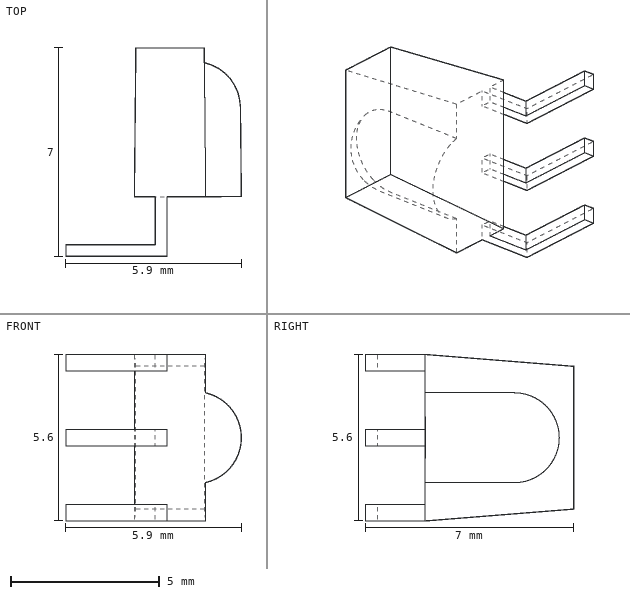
import cadquery as cq
import math

body_length = 5.0
base_width = 2.4
base_height = 5.6
tip_width = 2.3
tip_height = 4.8

lens_protrusion = 1.2
lens_radius = 1.55
lens_column_length = 3.0
side_draft = math.atan2((base_width - tip_width) / 2, body_length)

lead_count = 3
lead_thickness = 0.4
lead_height = 0.56
lead_drop = 2.0
lead_reach = 3.4
lead_outer_x = -0.1
lead_pitch = (base_height - lead_height) / (lead_count - 1)


def make_body():
    return (
        cq.Workplane(cq.Plane(origin=(0, 0, 0), xDir=(1, 0, 0), normal=(0, 1, 0)))
        .rect(base_width, base_height)
        .workplane(offset=body_length)
        .rect(tip_width, tip_height)
        .loft(ruled=True, combine=True)
    )


def make_lens():
    """Domed column turned about its axis inside the body, keeping only what lies outside the +X face."""
    face = cq.Plane(
        origin=(base_width / 2, 0, 0),
        xDir=(math.cos(side_draft), math.sin(side_draft), 0),
        normal=(0, 0, 1),
    )
    axis_x = lens_protrusion - lens_radius
    column = (
        cq.Workplane(face)
        .moveTo(axis_x, 0)
        .lineTo(lens_protrusion, 0)
        .lineTo(lens_protrusion, lens_column_length)
        .radiusArc((axis_x, lens_column_length + lens_radius), -lens_radius)
        .close()
        .revolve(360, (axis_x, 0), (axis_x, 1))
    )
    outside = cq.Workplane(face).box(
        2 * lens_radius,
        body_length,
        2 * lens_radius,
        centered=(False, False, True),
    )
    return column.intersect(outside)


def make_lead(z):
    """One L-shaped lead, centred on height z."""
    inner_x = lead_outer_x - lead_thickness
    end_x = lead_outer_x - lead_reach
    return (
        cq.Workplane("XY", origin=(0, 0, z))
        .polyline([
            (lead_outer_x, 0),
            (lead_outer_x, -lead_drop),
            (end_x, -lead_drop),
            (end_x, lead_thickness - lead_drop),
            (inner_x, lead_thickness - lead_drop),
            (inner_x, 0),
        ])
        .close()
        .extrude(lead_height / 2, both=True)
    )


result = make_body().union(make_lens())
for index in range(lead_count):
    lead_z = (index - (lead_count - 1) / 2) * lead_pitch
    result = result.union(make_lead(lead_z))